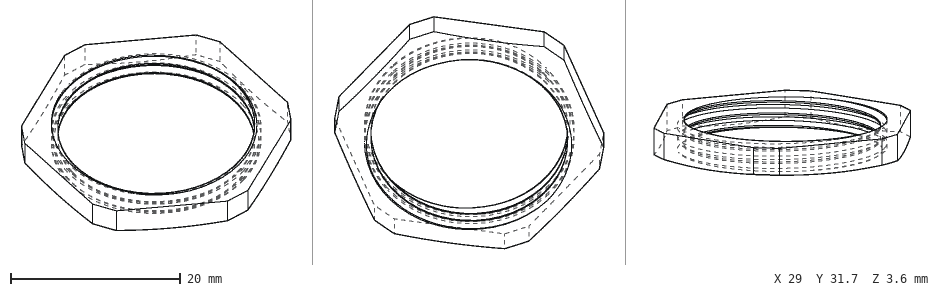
import cadquery as cq
import math

across_flats = 29.0
across_cut_corners = 31.72
thickness = 3.6
chamfer_angle = 15.0

minor_radius = 11.65
major_radius = 12.4
pitch = 1.5
crest_width = pitch / 8
flank_angle = 30.0
groove_azimuth = 260.0
turns_below_top = math.ceil(thickness / pitch)
cutter_overlap = 0.1


def hexagon(width_across_flats):
    """Hexagonal prism with two flats square to the X axis."""
    corner_diameter = width_across_flats / math.cos(math.radians(30))
    return (
        cq.Workplane("XY")
        .polygon(6, corner_diameter)
        .extrude(thickness)
        .rotate((0, 0, 0), (0, 0, 1), 30)
    )


def chamfer_envelope():
    """Round body whose cone bevels the corners of the bottom face."""
    base_radius = across_flats / 2
    outer_radius = base_radius + thickness / math.tan(math.radians(chamfer_angle))
    return (
        cq.Workplane("XZ")
        .polyline([(0, 0), (base_radius, 0), (outer_radius, thickness), (0, thickness)])
        .close()
        .revolve(360, (0, 0), (0, 1))
    )


def groove_turn():
    """One turn of the trapezoidal groove, rising from the top face."""
    flank_slope = math.tan(math.radians(flank_angle))
    inner_radius = minor_radius - cutter_overlap
    mouth_half = (pitch - crest_width) / 2
    root_half = mouth_half - (major_radius - minor_radius) * flank_slope
    inner_half = mouth_half + cutter_overlap * flank_slope
    helix = cq.Wire.makeHelix(pitch, pitch, minor_radius)
    groove = (
        cq.Workplane("XZ")
        .polyline([
            (inner_radius, -inner_half),
            (major_radius, -root_half),
            (major_radius, root_half),
            (inner_radius, inner_half),
        ])
        .close()
        .sweep(cq.Workplane(helix), isFrenet=True)
    )
    return groove.rotate((0, 0, 0), (0, 0, 1), groove_azimuth).translate((0, 0, thickness))


corner_cuts = hexagon(across_cut_corners).rotate((0, 0, 0), (0, 0, 1), 30)
body = hexagon(across_flats).intersect(corner_cuts).intersect(chamfer_envelope())

bore = cq.Workplane("XY").circle(minor_radius).extrude(thickness)
result = body.cut(bore)

turn = groove_turn()
for turn_number in range(-turns_below_top, 1):
    result = result.cut(turn.translate((0, 0, turn_number * pitch)))